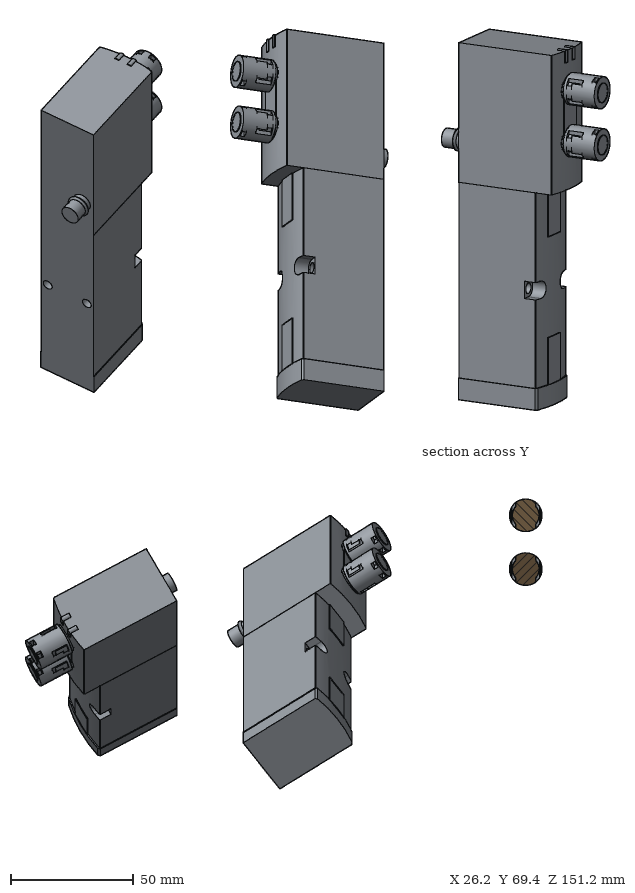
import cadquery as cq

TOTAL_DEPTH = 69.4
TOTAL_HEIGHT = 151.18

head_width = 25.7
valve_width = 25.6
cap_width = 26.2
head_top = 150.75
head_bottom = 91.8
cap_top = 9.2
head_depth = 44.8
valve_depth = 37.35
rear_pad_height = 0.3
cap_depth = 38.0
crown_rise = 1.3
corner_chamfer = 0.3
cap_corner_chamfer = 0.8

pad_width = 10.0
upper_pad_bottom = 71.6
lower_pad_top = 29.1

tab_width = 2.0
tab_spacing = 6.0
tab_reach = 3.9
tab_drop = 5.0
tab_rise = TOTAL_HEIGHT - head_top

mount_hole_diameter = 4.3
mount_hole_spacing = 19.2
mount_hole_z = 50.2
screw_recess_width = 7.3
screw_recess_depth = 7.2

plug_diameter = 8.0
plug_length = 9.0
plug_x = 7.3
plug_z = 108.3
plug_ring_radius = 0.8
plug_ring_offset = 2.9

connector_z = (134.2, 112.2)
neck_diameter = 12.0
neck_seat = head_depth - 0.7
sleeve_diameter = 13.4
sleeve_length = 14.5
tip_ring_diameter = 8.2
tip_ring_height = 0.4
connector_end = TOTAL_DEPTH - plug_length
sleeve_end = connector_end - tip_ring_height
sleeve_start = sleeve_end - sleeve_length

core_diameter = 11.0
inner_tube_diameter = 7.0
tip_window_x = (1.7, 4.1)
tip_window_start = 0.5
tip_window_stop = 2.4
side_slot_x = (4.1, 5.6)
side_slot_start = 6.4
side_slot_open_stop = 8.0
side_slot_wide_start = 11.0
side_slot_stop = 13.3
side_slot_wide_x = 6.1


def box(x_range, y_range, z_range):
    size = [high - low for low, high in (x_range, y_range, z_range)]
    return cq.Workplane("XY").box(*size, centered=False).translate((x_range[0], y_range[0], z_range[0]))


def rod(diameter, x, z, y_start, y_end):
    """Cylinder along +Y."""
    return cq.Workplane("XZ", origin=(x, y_start, z)).circle(diameter / 2).extrude(y_start - y_end)


def crowned_block(width, depth, chamfer, z_bottom, z_top):
    """Block with its flat front at Y = 0 and an arched rear face."""
    half = width / 2
    shoulder = depth - crown_rise
    return (
        cq.Workplane("XY", origin=(0, 0, z_bottom))
        .moveTo(-half, 0)
        .lineTo(half, 0)
        .lineTo(half, shoulder - chamfer)
        .lineTo(half - chamfer, shoulder)
        .threePointArc((0, depth), (-half + chamfer, shoulder))
        .lineTo(-half, shoulder - chamfer)
        .close()
        .extrude(z_top - z_bottom)
    )


def rear_pad(depth, z_bottom, z_top):
    half = pad_width / 2
    return box((-half, half), (depth - 2 * crown_rise, depth + rear_pad_height), (z_bottom, z_top))


def latch_tab(x):
    """Hook over the rear top edge of the head, rounded across its top."""
    half = tab_width / 2
    rear = head_depth + rear_pad_height
    hook = box((x - half, x + half), (rear - tab_reach, rear), (head_top - tab_drop, head_top))
    rounded_top = (
        cq.Workplane("XZ", origin=(0, rear, 0))
        .moveTo(x - half, head_top)
        .threePointArc((x, head_top + tab_rise), (x + half, head_top))
        .close()
        .extrude(tab_reach)
    )
    return hook.union(rounded_top)


def screw_recess(side):
    """Round-ended slot from the mounting hole out through one side, open at the rear."""
    x = side * mount_hole_spacing / 2
    rear = cap_depth + crown_rise
    front = cap_depth - screw_recess_depth
    half = screw_recess_width / 2
    outer = side * cap_width
    slot = box((min(x, outer), max(x, outer)), (front, rear), (mount_hole_z - half, mount_hole_z + half))
    return slot.union(rod(screw_recess_width, x, mount_hole_z, front, rear))


def plug():
    ring = (
        cq.Workplane("XY", origin=(plug_x, 0, plug_z))
        .center(plug_diameter / 2, -plug_ring_offset)
        .circle(plug_ring_radius)
        .revolve(360, (-plug_diameter / 2, 0), (-plug_diameter / 2, 1))
    )
    return rod(plug_diameter, plug_x, plug_z, -plug_length, 0).union(ring)


def make_housing():
    housing = crowned_block(head_width, head_depth, corner_chamfer, head_bottom, head_top)
    housing = housing.union(crowned_block(valve_width, valve_depth, corner_chamfer, cap_top, head_bottom))
    housing = housing.union(crowned_block(cap_width, cap_depth, cap_corner_chamfer, 0, cap_top))
    housing = housing.union(rear_pad(valve_depth, upper_pad_bottom, head_bottom))
    housing = housing.union(rear_pad(valve_depth, cap_top, lower_pad_top))
    housing = housing.union(rear_pad(head_depth, connector_z[1], connector_z[0]))
    housing = housing.union(plug())
    for side in (-1, 1):
        hole_x = side * mount_hole_spacing / 2
        housing = housing.union(latch_tab(side * tab_spacing / 2))
        housing = housing.cut(rod(mount_hole_diameter, hole_x, mount_hole_z, 0, cap_depth))
        housing = housing.cut(screw_recess(side))
    for z in connector_z:
        housing = housing.cut(rod(neck_diameter, 0, z, neck_seat, sleeve_start))
    return housing


def make_connector(z):
    height = (z - sleeve_diameter, z + sleeve_diameter)

    def slot(side, x_range, start, stop):
        """Cutter through the sleeve along Z, placed by its distances from the sleeve end."""
        near, far = sorted(side * x for x in x_range)
        return box((near, far), (sleeve_end - stop, sleeve_end - start), height)

    connector = rod(neck_diameter, 0, z, neck_seat, sleeve_start)
    connector = connector.union(rod(sleeve_diameter, 0, z, sleeve_start, sleeve_end))
    connector = connector.union(rod(tip_ring_diameter, 0, z, sleeve_end, connector_end))
    core = rod(core_diameter, 0, z, sleeve_start, sleeve_end - side_slot_open_stop)
    inner_tube = rod(inner_tube_diameter, 0, z, sleeve_start, sleeve_end)
    wide_slot_x = (side_slot_x[0], side_slot_wide_x)
    for side in (-1, 1):
        connector = connector.cut(slot(side, tip_window_x, tip_window_start, tip_window_stop).cut(inner_tube))
        connector = connector.cut(slot(side, side_slot_x, side_slot_start, side_slot_stop).cut(core))
        connector = connector.cut(slot(side, wide_slot_x, side_slot_wide_start, side_slot_stop).cut(core))
    return connector


housing = make_housing()
connectors = [make_connector(z) for z in connector_z]
result = cq.Compound.makeCompound([housing.val(), *[connector.val() for connector in connectors]])